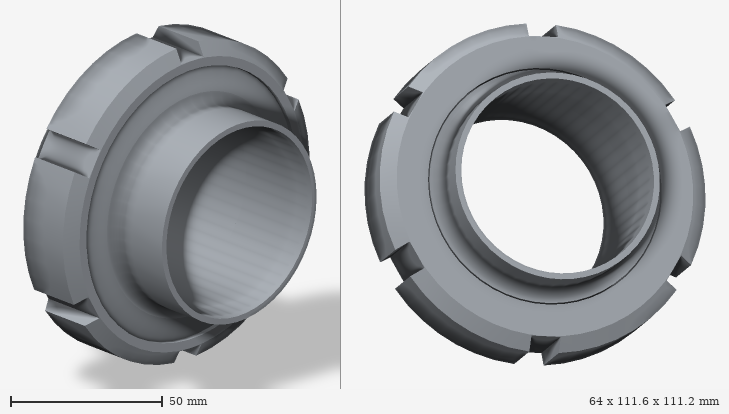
import cadquery as cq
import math


LENGTH = 64.0
BORE_D = 66.0
PIPE_D = 70.0
FILLET_R = 4.0
JOINT_X = 32.0

LINER_NECK_D = 79.0
LINER_FLANGE_D = 91.2

MALE_FILLET_X = 45.7
MALE_COLLAR_D = 95.0
COLLAR_SLOPE = 15.0

NUT_D = 111.6
NUT_X = 16.1
NUT_WIDTH = 24.9
NUT_MOUTH_D = 80.0
NUT_THREAD_D = 95.3
NUT_LIP = 6.7
CHAMFER_DEPTH = 5.0
FRONT_CHAMFER = 3.0
REAR_CHAMFER = 2.7

SLOT_COUNT = 6
SLOT_WIDTH = 10.0
SLOT_TURN = 0.5

bore_r = BORE_D / 2
pipe_r = PIPE_D / 2
nut_end_x = NUT_X + NUT_WIDTH
shoulder_x = NUT_X + NUT_LIP
face_r = NUT_D / 2 - CHAMFER_DEPTH


def revolve_about_x(profile):
    """Revolve a closed (x, radius) profile about the X axis."""
    return profile.close().revolve(360, (0, 0, 0), (1, 0, 0))


def fillet_point(center_x, angle):
    """Point on a pipe-to-collar fillet; angle is measured from the +X direction."""
    a = math.radians(angle)
    return (center_x + FILLET_R * math.cos(a), pipe_r + FILLET_R + FILLET_R * math.sin(a))


def make_liner():
    neck_r = LINER_NECK_D / 2
    flange_r = LINER_FLANGE_D / 2
    fillet_x = NUT_X - FILLET_R
    return revolve_about_x(
        cq.Workplane("XY")
        .moveTo(0, bore_r)
        .lineTo(0, pipe_r)
        .lineTo(fillet_x, pipe_r)
        .threePointArc(fillet_point(fillet_x, -45), fillet_point(fillet_x, 0))
        .lineTo(NUT_X, neck_r)
        .lineTo(shoulder_x, neck_r)
        .lineTo(shoulder_x, flange_r)
        .lineTo(JOINT_X, flange_r)
        .lineTo(JOINT_X, bore_r)
    )


def make_male_part():
    collar_r = MALE_COLLAR_D / 2
    fillet_end = fillet_point(MALE_FILLET_X, 180)
    slope_run = (collar_r - fillet_end[1]) * math.tan(math.radians(COLLAR_SLOPE))
    return revolve_about_x(
        cq.Workplane("XY")
        .moveTo(LENGTH, bore_r)
        .lineTo(LENGTH, pipe_r)
        .lineTo(MALE_FILLET_X, pipe_r)
        .threePointArc(fillet_point(MALE_FILLET_X, -135), fillet_end)
        .lineTo(fillet_end[0] - slope_run, collar_r)
        .lineTo(JOINT_X, collar_r)
        .lineTo(JOINT_X, bore_r)
    )


def make_nut_blank():
    mouth_r = NUT_MOUTH_D / 2
    thread_r = NUT_THREAD_D / 2
    return revolve_about_x(
        cq.Workplane("XY")
        .moveTo(NUT_X, mouth_r)
        .lineTo(NUT_X, face_r)
        .lineTo(NUT_X + FRONT_CHAMFER, NUT_D / 2)
        .lineTo(nut_end_x - REAR_CHAMFER, NUT_D / 2)
        .lineTo(nut_end_x, face_r)
        .lineTo(nut_end_x, thread_r)
        .lineTo(shoulder_x, thread_r)
        .lineTo(shoulder_x, mouth_r)
    )


def make_nut():
    nut = make_nut_blank()
    slot = cq.Workplane("XY").box(NUT_WIDTH, SLOT_WIDTH, NUT_D, centered=(False, True, False))
    slot = slot.translate((NUT_X, 0, face_r))
    for i in range(SLOT_COUNT):
        angle = i * 360 / SLOT_COUNT - SLOT_TURN
        nut = nut.cut(slot.rotate((0, 0, 0), (1, 0, 0), angle))
    return nut


liner = make_liner()
male_part = make_male_part()
nut = make_nut()

result = cq.Compound.makeCompound([liner.val(), male_part.val(), nut.val()])